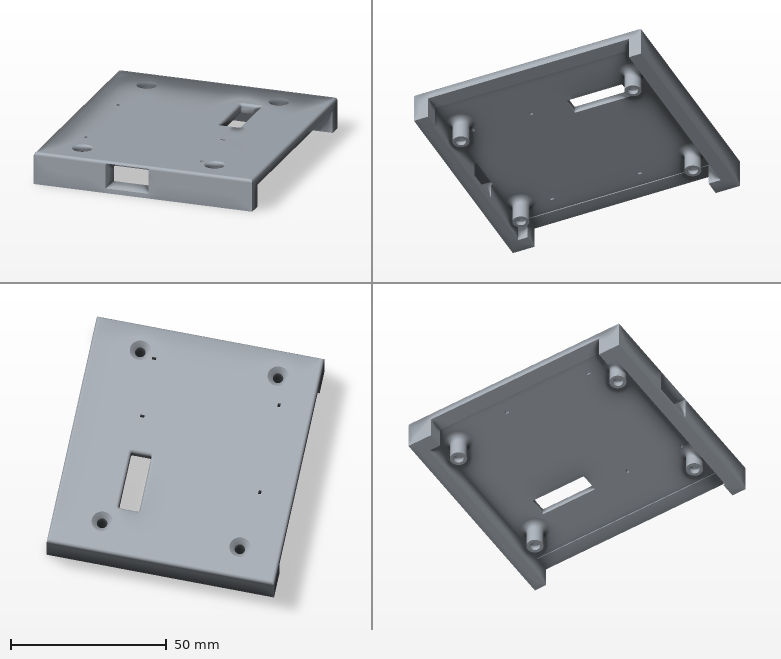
import cadquery as cq

LENGTH_X = 74.4
LENGTH_Y = 80.5
HEIGHT = 10.8
PLATE_THICKNESS = 3.0
SIDE_WALL = 5.3
END_WALL = 4.35
TOP_EDGE_ROUND = 1.0

SIDE_OPENING_TOP = 7.5
LEFT_LEG_FRONT = 7.7
LEFT_LEG_BACK = 8.6
RIGHT_LEG_FRONT = 5.0
RIGHT_LEG_BACK = 4.35

POST_XS = (-23.9, 21.2)
POST_YS = (-31.15, 29.8)
POST_RADIUS = 2.7
POST_ROOT_FILLET = 2.0
SCREW_RADIUS = 1.7
COUNTERSINK_RADIUS = 3.4
COUNTERSINK_ANGLE = 90

WINDOW_WIDTH = 14.6
WINDOW_HEIGHT = 8.5
WINDOW_X = -5.4
WINDOW_Z = 5.9
WINDOW_DEPTH = 5.0
WINDOW_TAPER = 15

SLOT_WIDTH = 6.7
SLOT_LENGTH = 19.9
SLOT_X = 13.6
SLOT_Y = 14.0
SLOT_CORNER_RADIUS = 0.5
SLOT_EDGE_ROUND = 1.0
RIM_SEARCH_MARGIN = 0.1

SLIT_LENGTH = 1.4
SLIT_WIDTH = 0.9
Y_SLITS = ((-26.3, 9.7), (-26.2, -21.25))
X_SLITS = ((15.9, -8.8), (16.25, -29.2))

PLATE_BOTTOM = HEIGHT - PLATE_THICKNESS
POST_CENTERS = [(x, y) for x in POST_XS for y in POST_YS]


def make_shell():
    """Plate with four walls and a rounded top edge."""
    block = cq.Workplane("XY").box(LENGTH_X, LENGTH_Y, HEIGHT, centered=(True, True, False))
    block = block.faces(">Z").edges().fillet(TOP_EDGE_ROUND)
    inner_x = LENGTH_X - 2 * SIDE_WALL
    inner_y = LENGTH_Y - 2 * END_WALL
    cavity = cq.Workplane("XY").box(inner_x, inner_y, PLATE_BOTTOM, centered=(True, True, False))
    return block.cut(cavity)


def side_opening(direction, front_leg, back_leg):
    """Cutter through the side wall at -X (direction -1) or +X (direction +1)."""
    length = LENGTH_Y - front_leg - back_leg
    return (
        cq.Workplane("XY")
        .box(SIDE_WALL, length, SIDE_OPENING_TOP, centered=(True, True, False))
        .translate((direction * (LENGTH_X - SIDE_WALL) / 2, (front_leg - back_leg) / 2, 0))
    )


def make_post():
    """Post on the Z axis with a concave fillet that flares into the plate."""
    flare_radius = POST_RADIUS + POST_ROOT_FILLET
    return (
        cq.Workplane("XZ")
        .lineTo(POST_RADIUS, 0)
        .lineTo(POST_RADIUS, PLATE_BOTTOM - POST_ROOT_FILLET)
        .radiusArc((flare_radius, PLATE_BOTTOM), POST_ROOT_FILLET)
        .lineTo(0, PLATE_BOTTOM)
        .close()
        .revolve(360, (0, 0, 0), (0, 1, 0))
    )


def make_window():
    """Cutter narrowing inward from the -Y face."""
    front_plane = cq.Plane(origin=(WINDOW_X, -LENGTH_Y / 2, WINDOW_Z), xDir=(1, 0, 0), normal=(0, -1, 0))
    return (
        cq.Workplane(front_plane)
        .rect(WINDOW_WIDTH, WINDOW_HEIGHT)
        .extrude(-WINDOW_DEPTH, taper=WINDOW_TAPER)
    )


def cut_slot(body):
    """Cut the rounded slot and round over its upper rim."""
    slot = (
        cq.Workplane("XY")
        .box(SLOT_WIDTH, SLOT_LENGTH, HEIGHT, centered=(True, True, False))
        .edges("|Z")
        .fillet(SLOT_CORNER_RADIUS)
        .translate((SLOT_X, SLOT_Y, 0))
    )
    reach_x = SLOT_WIDTH / 2 + RIM_SEARCH_MARGIN
    reach_y = SLOT_LENGTH / 2 + RIM_SEARCH_MARGIN
    rim = cq.selectors.BoxSelector(
        (SLOT_X - reach_x, SLOT_Y - reach_y, HEIGHT - RIM_SEARCH_MARGIN),
        (SLOT_X + reach_x, SLOT_Y + reach_y, HEIGHT + RIM_SEARCH_MARGIN),
    )
    return body.cut(slot).edges(rim).fillet(SLOT_EDGE_ROUND)


def cut_slits(body, centers, size_x, size_y):
    """Cut small rectangular slits through the plate."""
    slits = cq.Workplane("XY").pushPoints(centers).rect(size_x, size_y).extrude(HEIGHT)
    return body.cut(slits)


result = make_shell()
result = result.cut(side_opening(-1, LEFT_LEG_FRONT, LEFT_LEG_BACK))
result = result.cut(side_opening(1, RIGHT_LEG_FRONT, RIGHT_LEG_BACK))
result = cut_slot(result)

for post_x, post_y in POST_CENTERS:
    result = result.union(make_post().translate((post_x, post_y, 0)))

result = (
    result.faces(">Z")
    .workplane(origin=(0, 0, HEIGHT))
    .pushPoints(POST_CENTERS)
    .cskHole(2 * SCREW_RADIUS, 2 * COUNTERSINK_RADIUS, COUNTERSINK_ANGLE)
)
result = result.cut(make_window())
result = cut_slits(result, Y_SLITS, SLIT_WIDTH, SLIT_LENGTH)
result = cut_slits(result, X_SLITS, SLIT_LENGTH, SLIT_WIDTH)